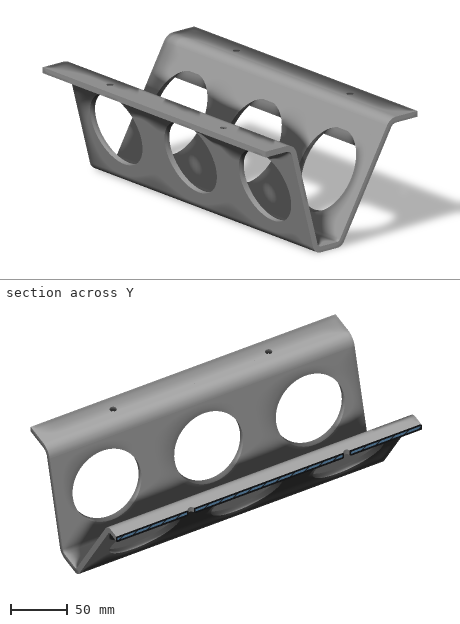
import cadquery as cq
import math

length = 304.8
width = 174.5
height = 107.3
thickness = 5.5

rear_wall_angle = 60.0
front_wall_angle = 75.0
flange_inner_radius = 6.5
base_inner_radius = 3.7
flange_width = {"rear": 31.5, "front": 33.2}

bore_diameter = 68.3
bore_pitch = length / 3
bore_z = 53.3
bore_end_from_rear = 43.3

screw_diameter = 6.5
screw_spacing = 155.5
screw_edge_distance = 14.48


def wall_corners(side, edge_y, toward_base, angle):
    """Sharp flange and base corners of one wall: upper surface, then lower surface."""
    slope = math.radians(angle)
    drop = height - thickness
    flange_y = edge_y + toward_base * flange_width[side]
    base_y = flange_y + toward_base * drop / math.tan(slope)
    shift = -toward_base * thickness * math.tan(slope / 2)
    upper = [(flange_y, height), (base_y, thickness)]
    lower = [(flange_y + shift, height - thickness), (base_y + shift, 0)]
    return upper, lower


def bent_sheet():
    front_y = -width / 2
    rear_y = width / 2
    front_upper, front_lower = wall_corners("front", front_y, 1, front_wall_angle)
    rear_upper, rear_lower = wall_corners("rear", rear_y, -1, rear_wall_angle)

    upper = [(front_y, height)] + front_upper + rear_upper[::-1] + [(rear_y, height)]
    lower = [(front_y, height - thickness)] + front_lower + rear_lower[::-1] + [(rear_y, height - thickness)]
    sheet = cq.Workplane("YZ").polyline(upper + lower[::-1]).close().extrude(length / 2, both=True)

    flange_outer_radius = flange_inner_radius + thickness
    base_outer_radius = base_inner_radius + thickness
    for upper_corners, lower_corners in ((front_upper, front_lower), (rear_upper, rear_lower)):
        bends = (
            (upper_corners[0], flange_outer_radius),
            (lower_corners[0], flange_inner_radius),
            (upper_corners[1], base_inner_radius),
            (lower_corners[1], base_outer_radius),
        )
        for (y, z), radius in bends:
            sheet = sheet.edges("|X").edges(cq.NearestToPointSelector((0, y, z))).fillet(radius)
    return sheet


def bores():
    bore_length = width - bore_end_from_rear
    return (
        cq.Workplane("XZ", origin=(0, -width / 2, bore_z))
        .rarray(bore_pitch, 3, 3, 1)
        .circle(bore_diameter / 2)
        .extrude(-bore_length)
    )


def screw_holes():
    row_spacing = width - 2 * screw_edge_distance
    return (
        cq.Workplane("XY")
        .rarray(screw_spacing, row_spacing, 2, 2)
        .circle(screw_diameter / 2)
        .extrude(height)
    )


result = bent_sheet().cut(bores()).cut(screw_holes())